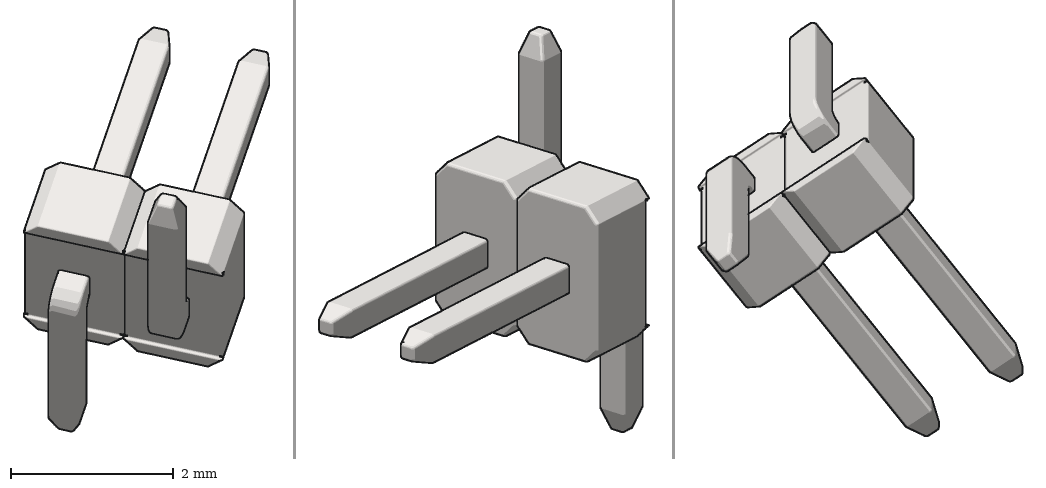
import cadquery as cq

PITCH = 1.27
BLOCK_HEIGHT = 2.1
BLOCK_DEPTH = 1.05
CORNER_CUT_X = 0.185
CORNER_CUT_Z = 0.2
RECESS_DEPTH = 0.05
BLOCK_ROUND = 0.045
SMALL_ROUND = 0.02

PIN_WIDTH = 0.4
TAIL_REACH = 3.0
LEG_REACH = 2.5
STANDOFF = 0.05
BEND_OUTER_RADIUS = 0.3
BEND_INNER_RADIUS = 0.14
POINT_LENGTH = 0.3
POINT_WIDTH = 0.2
PIN_ROUND = 0.045

PIN_HALF = PIN_WIDTH / 2
LEG_BACK_Y = -BLOCK_DEPTH - STANDOFF
LEG_FRONT_Y = LEG_BACK_Y - PIN_WIDTH
LEG_MIDDLE_Y = (LEG_BACK_Y + LEG_FRONT_Y) / 2


def make_block_outline():
    """Rectangle with its four corners cut off, extruded forward from Y = 0."""
    half_x = PITCH / 2
    half_z = BLOCK_HEIGHT / 2
    flat_x = half_x - CORNER_CUT_X
    flat_z = half_z - CORNER_CUT_Z
    return (
        cq.Workplane("XZ")
        .polyline([
            (-half_x, -flat_z),
            (-flat_x, -half_z),
            (flat_x, -half_z),
            (half_x, -flat_z),
            (half_x, flat_z),
            (flat_x, half_z),
            (-flat_x, half_z),
            (-half_x, flat_z),
        ])
        .close()
        .extrude(BLOCK_DEPTH)
    )


def make_front_recess():
    """Cutter for the shallow front recess, with rounded floor corners and rounded step edges."""
    front_y = -BLOCK_DEPTH
    floor_y = front_y + RECESS_DEPTH
    step_z = BLOCK_HEIGHT / 2 - CORNER_CUT_Z
    upper_half = (
        cq.Workplane("YZ")
        .moveTo(front_y, 0)
        .lineTo(floor_y, 0)
        .lineTo(floor_y, step_z - SMALL_ROUND)
        .tangentArcPoint((floor_y - SMALL_ROUND, step_z), relative=False)
        .lineTo(front_y + SMALL_ROUND, step_z)
        .tangentArcPoint((front_y, step_z + SMALL_ROUND), relative=False)
        .close()
        .extrude(PITCH / 2, both=True)
    )
    return upper_half.union(upper_half.mirror("XY"))


def make_side_edge_cutter():
    """Cutter that rounds the two upright edges beside the recess floor."""
    step_height = BLOCK_HEIGHT - 2 * CORNER_CUT_Z
    zone = cq.Workplane("XY").box(PITCH, BLOCK_ROUND, step_height, centered=(True, False, True))
    kept_core = (
        cq.Workplane("XY")
        .box(PITCH, 2 * BLOCK_ROUND, step_height, centered=(True, False, True))
        .faces("<Y")
        .edges("|Z")
        .fillet(BLOCK_ROUND)
    )
    return zone.cut(kept_core).translate((0, RECESS_DEPTH - BLOCK_DEPTH, 0))


def make_block():
    """Eight-sided block with a shallow front recess between an upper and a lower raised band."""
    block = make_block_outline().edges("|Y").fillet(SMALL_ROUND)
    block = block.faces("<Y").edges().fillet(SMALL_ROUND)
    block = block.faces(">Y").edges().fillet(BLOCK_ROUND)
    return block.cut(make_front_recess()).cut(make_side_edge_cutter())


def make_point(plane):
    """Four-sided pin point that narrows along the normal of the given plane."""
    return (
        cq.Workplane(plane)
        .rect(PIN_WIDTH, PIN_WIDTH)
        .workplane(offset=POINT_LENGTH)
        .rect(POINT_WIDTH, POINT_WIDTH)
        .loft()
    )


def make_pin():
    """Pin with a straight tail toward +Y and a leg bent down toward -Z."""
    tail_y = TAIL_REACH - POINT_LENGTH
    leg_z = POINT_LENGTH - LEG_REACH
    shank = (
        cq.Workplane("YZ")
        .moveTo(tail_y, PIN_HALF)
        .lineTo(LEG_FRONT_Y, PIN_HALF)
        .lineTo(LEG_FRONT_Y, leg_z)
        .lineTo(LEG_BACK_Y, leg_z)
        .lineTo(LEG_BACK_Y, -PIN_HALF)
        .lineTo(tail_y, -PIN_HALF)
        .close()
        .extrude(PIN_HALF, both=True)
    )
    outer_corner = cq.selectors.NearestToPointSelector((0, LEG_FRONT_Y, PIN_HALF))
    shank = shank.edges("|X").edges(outer_corner).fillet(BEND_OUTER_RADIUS)
    inner_corner = cq.selectors.NearestToPointSelector((0, LEG_BACK_Y, -PIN_HALF))
    shank = shank.edges("|X").edges(inner_corner).fillet(BEND_INNER_RADIUS)
    tail_plane = cq.Plane(origin=(0, tail_y, 0), xDir=(1, 0, 0), normal=(0, 1, 0))
    leg_plane = cq.Plane(origin=(0, LEG_MIDDLE_Y, leg_z), xDir=(1, 0, 0), normal=(0, 0, -1))
    pin = shank.union(make_point(tail_plane)).union(make_point(leg_plane))
    return pin.edges().fillet(PIN_ROUND)


def make_contact_module(x, turn):
    """Block fused with its pin at the given X; the turn about Y sets the way the leg points."""
    module = make_block().union(make_pin())
    return module.rotate((0, 0, 0), (0, 1, 0), turn).translate((x, 0, 0))


modules = [
    make_contact_module(x, turn).val()
    for x, turn in ((-PITCH / 2, 0), (PITCH / 2, 180))
]
result = cq.Compound.makeCompound(modules)